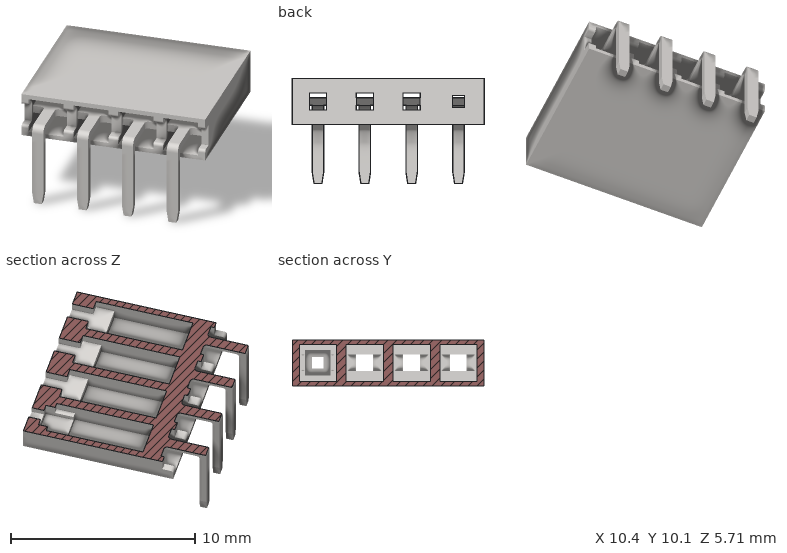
import cadquery as cq

HOUSING_WIDTH = 10.41
HOUSING_DEPTH = 8.49
HOUSING_HEIGHT = 2.5
NOTCH_DEPTH = 0.61
NOTCH_HEIGHT = 1.24
NOTCH_EDGE_RADIUS = 0.17

CELL_COUNT = 4
CELL_PITCH = 2.54
POCKET_SIZE = 1.99
POCKET_DEPTH = 6.25
SLOT_HEIGHT = 0.92
SLOT_DEPTH = 1.04
HOLE_SIZE = SLOT_HEIGHT

STEP_SIZE = 1.41
STEP_DEPTH = 0.52
STEP_HOLE_SIZE = 0.65

PIN_WIDTH = 0.64
PIN_THICKNESS = 0.42
LEG_THICKNESS = 0.4
PIN_REACH = 1.56
PIN_DROP = 4.46
BEND_OUTER_RADIUS = 0.4
BEND_INNER_RADIUS = 0.15
ROOT_FACE = 0.8
ROOT_DEPTH = 1.04
ROOT_FILLET = 0.18
TIP_WIDTH = 0.44
TIP_LENGTH = 0.62

SLOT_END = POCKET_DEPTH + SLOT_DEPTH
cell_centers = [(i - (CELL_COUNT - 1) / 2) * CELL_PITCH for i in range(CELL_COUNT)]


def bar(x_center, width, height, y_start, y_end):
    """Block along Y, centred on x_center and on mid-height."""
    length = y_end - y_start
    return cq.Workplane("XY").box(width, length, height).translate((x_center, y_start + length / 2, 0))


def make_housing():
    """Block with a round-lipped notch along its pin side."""
    block = bar(0, HOUSING_WIDTH, HOUSING_HEIGHT, 0, HOUSING_DEPTH)
    notched = block.cut(bar(0, HOUSING_WIDTH, NOTCH_HEIGHT, 0, NOTCH_DEPTH))
    lip_reach = NOTCH_EDGE_RADIUS / 2
    lip_edges = cq.selectors.BoxSelector(
        (-HOUSING_WIDTH, -lip_reach, -NOTCH_HEIGHT / 2 - lip_reach),
        (HOUSING_WIDTH, lip_reach, NOTCH_HEIGHT / 2 + lip_reach),
    )
    return notched.edges(lip_edges).fillet(NOTCH_EDGE_RADIUS)


def make_cavity(x_center, stepped):
    """Pocket, slot in the pocket's end wall and mating hole of one cell."""
    pocket = bar(x_center, POCKET_SIZE, POCKET_SIZE, 0, POCKET_DEPTH)
    slot = bar(x_center, POCKET_SIZE, SLOT_HEIGHT, 0, SLOT_END)
    hole_size = STEP_HOLE_SIZE if stepped else HOLE_SIZE
    hole = bar(x_center, hole_size, hole_size, 0, HOUSING_DEPTH)
    cavity = pocket.union(slot).union(hole)
    if stepped:
        cavity = cavity.union(bar(x_center, STEP_SIZE, STEP_SIZE, 0, SLOT_END + STEP_DEPTH))
    return cavity


def make_pin_arm(x_center):
    """Flat contact: a root spanning the pocket, filleted into the arm of the pin."""
    half_root = POCKET_SIZE / 2
    half_arm = PIN_WIDTH / 2
    root_back = ROOT_FACE + ROOT_DEPTH
    arm_start = ROOT_FACE - ROOT_FILLET
    arm_end = BEND_OUTER_RADIUS - PIN_REACH
    outline = (
        cq.Workplane("XY", origin=(x_center, 0, -PIN_THICKNESS / 2))
        .moveTo(-half_arm, arm_end)
        .lineTo(-half_arm, arm_start)
        .radiusArc((-half_arm - ROOT_FILLET, ROOT_FACE), -ROOT_FILLET)
        .lineTo(-half_root, ROOT_FACE)
        .lineTo(-half_root, root_back)
        .lineTo(half_root, root_back)
        .lineTo(half_root, ROOT_FACE)
        .lineTo(half_arm + ROOT_FILLET, ROOT_FACE)
        .radiusArc((half_arm, arm_start), -ROOT_FILLET)
        .lineTo(half_arm, arm_end)
        .close()
    )
    return outline.extrude(PIN_THICKNESS)


def make_pin_leg(x_center):
    """Bend and downward leg, narrowed in X towards the tip."""
    half_width = PIN_WIDTH / 2
    half_tip = TIP_WIDTH / 2
    front = -PIN_REACH
    back = front + LEG_THICKNESS
    top = PIN_THICKNESS / 2
    underside = -PIN_THICKNESS / 2
    bottom = -PIN_DROP
    joint = 0.0
    side = (
        cq.Workplane("YZ", origin=(x_center - half_width, 0, 0))
        .moveTo(joint, top)
        .lineTo(front + BEND_OUTER_RADIUS, top)
        .radiusArc((front, top - BEND_OUTER_RADIUS), -BEND_OUTER_RADIUS)
        .lineTo(front, bottom)
        .lineTo(back, bottom)
        .lineTo(back, underside - BEND_INNER_RADIUS)
        .radiusArc((back + BEND_INNER_RADIUS, underside), BEND_INNER_RADIUS)
        .lineTo(joint, underside)
        .close()
        .extrude(PIN_WIDTH)
    )
    face = (
        cq.Workplane("XZ", origin=(x_center, joint, 0))
        .polyline([
            (-half_width, top),
            (half_width, top),
            (half_width, bottom + TIP_LENGTH),
            (half_tip, bottom),
            (-half_tip, bottom),
            (-half_width, bottom + TIP_LENGTH),
        ])
        .close()
        .extrude(PIN_REACH)
    )
    return side.intersect(face)


result = make_housing()
for index, center in enumerate(cell_centers):
    result = result.cut(make_cavity(center, stepped=index == 0))
for center in cell_centers:
    result = result.union(make_pin_arm(center)).union(make_pin_leg(center))